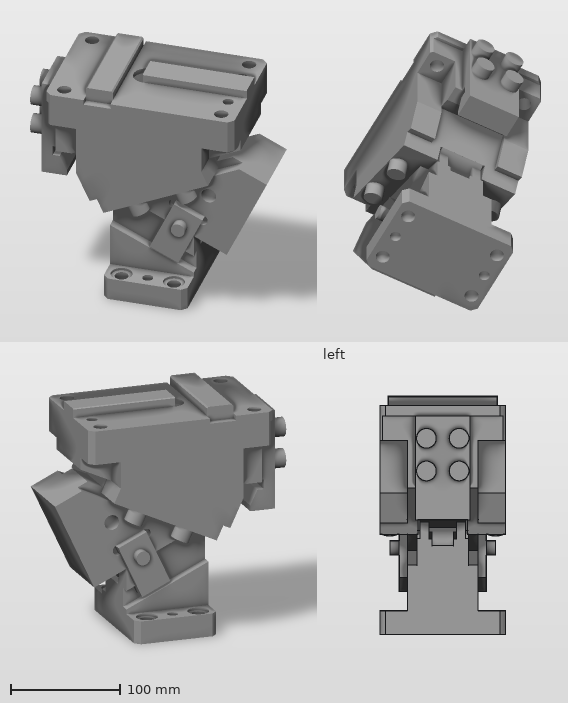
import cadquery as cq
import math

ANGLE = math.radians(25)
TAN = math.tan(ANGLE)
WIDTH = 115.0
CORE_WIDTH = 65.0

FOOT_LENGTH = 80.0
FOOT_HEIGHT = 22.0
FOOT_CHAMFER = 5.0
FOOT_HOLE_SPACING = 50.0
FOOT_HOLE_Y = 46.0
FOOT_HOLE_DIAMETER = 12.8
FOOT_COUNTERBORE_DIAMETER = 20.1
FOOT_COUNTERBORE_DEPTH = 2.3
FOOT_DOWEL_DIAMETER = 10.0
LEDGE_Z = 63.8
WEB_WIDTH = 47.1
SHOULDER_Z = 87.8
DRIVE_Z = 103.2
NECK_WIDTH = 41.6
RIB_START = 62.0
RIB_DEPTH = 19.5

SLIDE_END = 123.0
SLIDE_HEIGHT = 90.5
NECK_RISE = 8.2
TONGUE_WIDTH = 20.1
TONGUE_DEPTH = 19.5
TONGUE_ROOT_WIDTH = 25.0
TONGUE_ROOT_DEPTH = 4.3
GROOVE_MOUTH_DEPTH = 14.0
TONGUE_START = 12.4
TONGUE_END = 92.5
CLIP_START = 57.9
CLIP_WIDTH = 30.2
CLIP_END = CLIP_START + CLIP_WIDTH
CLIP_TOP = 25.5
CLIP_BOTTOM = -29.3
CLIP_THICKNESS = 7.5
CLIP_SLOT_WIDTH = 9.8
CLIP_SLOT_DEPTH = 6.0
CLIP_PIN_DIAMETER = 13.3
CLIP_PIN_RISE = 7.8
CLIP_PIN_REACH = 8.5
CROSS_HOLE_DIAMETER = 14.2
CROSS_HOLE_ALONG = 82.0
CROSS_HOLE_RISE = 47.8

PLATE_LEFT = -55.1
PLATE_LENGTH = 180.0
PLATE_RIGHT = PLATE_LEFT + PLATE_LENGTH
PLATE_TOP = 210.0
PLATE_BOTTOM = 177.7
PLATE_CHAMFER = 5.3
MOUNT_X = -52.2
MOUNT_TOP = 200.2
CORE_BOTTOM = 134.5
CORE_FLAT_END = -36.5
CHEEK_LEFT = -25.0
CHEEK_START = -4.8
RAIL_START = 2.7
RAIL_LENGTH = 110.3
RAIL_GAP = 3.2
RAIL_THICKNESS = 15.0
RAIL_TOP = RAIL_GAP + RAIL_THICKNESS
RAIL_END = RAIL_START + RAIL_LENGTH
RAIL_SPACING = 45.8
RAIL_SCREW_STARTS = (33.6, 83.7)
RAIL_SCREW_DIAMETER = 17.4
RAIL_SCREW_HEIGHT = 12.1
RAIL_SCREW_Y = 48.5
PLATE_HOLE_DIAMETER = 13.0
PLATE_HOLE_XS = (-40.0, 110.0)
PLATE_HOLE_Y = 45.0
DOWEL_HOLE_DIAMETER = 10.0
DOWEL_HOLE_Y = 22.6
KEY_TOP = 219.0
KEYWAY_DEPTH = 4.8
CROSS_KEY_X = -5.0
CROSS_KEY_WIDTH = 25.6
CROSS_KEY_LENGTH = 100.0
CROSS_KEY_CHAMFER = 1.4
LONG_KEY_START = 25.5
LONG_KEY_WIDTH = 25.0
LONG_KEY_CHAMFER = 1.0
HOOK_WIDTH = 50.3
HOOK_LEFT = -67.5
HOOK_BOTTOM = 105.2
HOOK_SLOT_X = -57.0
HOOK_SLOT_BOTTOM = 125.1
HOOK_LIP_START = -50.3
HOOK_LIP_END = -43.5
HOOK_LIP_CORNER = 110.7
HOOK_SCREW_DIAMETER = 18.0
HOOK_SCREW_HEIGHT = 11.5
HOOK_SCREW_SPACING = 30.0
HOOK_SCREW_Z = 165.0


def rising(along, height):
    """XZ point on the slope that climbs to the right from the driver's shoulder."""
    x = along * math.cos(ANGLE) - height * math.sin(ANGLE)
    z = SHOULDER_Z + along * math.sin(ANGLE) + height * math.cos(ANGLE)
    return x, z


def falling(along, height):
    """XZ point on the drive face, which drops to the right from the driver's top corner."""
    x = along * math.cos(ANGLE) + height * math.sin(ANGLE)
    z = DRIVE_Z - along * math.sin(ANGLE) + height * math.cos(ANGLE)
    return x, z


def rising_z(x, height):
    """Z at x of the line that runs parallel to the rising slope, height above it."""
    return SHOULDER_Z + height / math.cos(ANGLE) + x * TAN


def rising_meets_drive(height):
    """XZ point where the line at height above the rising slope meets the drive face."""
    x = (DRIVE_Z - rising_z(0, height)) / (2 * TAN)
    return x, rising_z(x, height)


def rising_meets_slide_top(height):
    """XZ point where the line at height above the rising slope meets the slide's top face."""
    x = (DRIVE_Z + SLIDE_HEIGHT / math.cos(ANGLE) - rising_z(0, height)) / (2 * TAN)
    return x, rising_z(x, height)


def profile(points, y_start, y_end):
    """XZ outline extruded from y_start to y_end."""
    outline = cq.Workplane("XZ", origin=(0, y_start, 0)).polyline(points).close()
    return outline.extrude(y_start - y_end)


def centred_profile(points, width):
    return profile(points, -width / 2, width / 2)


def paired_profile(points, inner_width, outer_width):
    """The outline extruded once on each side of the middle plane."""
    near = profile(points, -outer_width / 2, -inner_width / 2)
    return near.union(profile(points, inner_width / 2, outer_width / 2))


def falling_box(start, end, bottom, top):
    return [falling(start, bottom), falling(end, bottom), falling(end, top), falling(start, top)]


def cross_cylinder(centre, diameter, y_start, y_end):
    """Cylinder along Y about an XZ centre."""
    plane = cq.Workplane("XZ", origin=(centre[0], y_start, centre[1]))
    return plane.circle(diameter / 2).extrude(y_start - y_end)


def foot():
    plate = cq.Workplane("XY").box(FOOT_LENGTH, WIDTH, FOOT_HEIGHT, centered=(False, True, False))
    plate = plate.edges("|Z").chamfer(FOOT_CHAMFER)
    middle = FOOT_LENGTH / 2
    screw_points = [
        (middle + side * FOOT_HOLE_SPACING / 2, y)
        for side in (-1, 1)
        for y in (-FOOT_HOLE_Y, FOOT_HOLE_Y)
    ]
    plate = (
        plate.faces(">Z").workplane(origin=(0, 0, FOOT_HEIGHT))
        .pushPoints(screw_points)
        .cboreHole(FOOT_HOLE_DIAMETER, FOOT_COUNTERBORE_DIAMETER, FOOT_COUNTERBORE_DEPTH)
    )
    return (
        plate.faces(">Z").workplane(origin=(0, 0, FOOT_HEIGHT))
        .pushPoints([(middle, -FOOT_HOLE_Y), (middle, FOOT_HOLE_Y)])
        .hole(FOOT_DOWEL_DIAMETER)
    )


def wedge(left_z):
    """Outline of a block on the foot whose top falls to the right from left_z."""
    return [(0, 0), (FOOT_LENGTH, 0), (FOOT_LENGTH, left_z - FOOT_LENGTH * TAN), (0, left_z)]


def ribs():
    """Ribs beside the web that the slide's claws hook under, flush with the right face."""
    right_z = DRIVE_Z - FOOT_LENGTH * TAN
    outline = [
        falling(RIB_START, -RIB_DEPTH),
        (FOOT_LENGTH, right_z - RIB_DEPTH / math.cos(ANGLE)),
        (FOOT_LENGTH, right_z),
        falling(RIB_START, 0),
    ]
    return paired_profile(outline, WEB_WIDTH, CORE_WIDTH)


def groove(width, depth):
    """Groove along the drive face, running out at both ends of the driver."""
    end = FOOT_LENGTH / math.cos(ANGLE) + depth
    return centred_profile(falling_box(-depth, end, -depth, depth), width)


def make_driver():
    body = foot().union(centred_profile(wedge(LEDGE_Z), CORE_WIDTH))
    body = body.union(centred_profile(wedge(DRIVE_Z), WEB_WIDTH)).union(ribs())
    corner = [(0, SHOULDER_Z), rising_meets_drive(0), (0, DRIVE_Z)]
    body = body.cut(paired_profile(corner, NECK_WIDTH, WEB_WIDTH))
    body = body.cut(groove(TONGUE_ROOT_WIDTH, GROOVE_MOUTH_DEPTH))
    return body.cut(groove(TONGUE_WIDTH, TONGUE_DEPTH))


def slide_outline(height):
    """Outline of the slide up to the line at height above the rising slope."""
    return [
        rising_meets_drive(height),
        falling(SLIDE_END, 0),
        falling(SLIDE_END, SLIDE_HEIGHT),
        rising_meets_slide_top(height),
    ]


def slide_head():
    """Raised part of the neck that runs along the ceiling of the adapter channel."""
    outline = [
        rising_meets_drive(RAIL_TOP),
        rising_meets_drive(0),
        rising(RAIL_END, 0),
        rising(RAIL_END, RAIL_TOP),
    ]
    return centred_profile(outline, NECK_WIDTH)


def tongue(width, depth):
    return centred_profile(falling_box(TONGUE_START, TONGUE_END, -depth, 0), width)


def add_clip(body, side):
    """Retaining clip in its slot, with its pin and claw, on the -Y (-1) or +Y (1) side."""
    face = side * CORE_WIDTH / 2
    floor = face - side * CLIP_SLOT_DEPTH
    outer = face + side * CLIP_THICKNESS
    web = side * WEB_WIDTH / 2
    slot_middle = CLIP_TOP - CLIP_SLOT_WIDTH / 2
    slot = profile(falling_box(CLIP_START, CLIP_END, CLIP_TOP - CLIP_SLOT_WIDTH, CLIP_TOP), floor, face)
    for along in (CLIP_START, CLIP_END):
        slot = slot.union(cross_cylinder(falling(along, slot_middle), CLIP_SLOT_WIDTH, floor, face))
    clip = falling_box(CLIP_START, CLIP_END, CLIP_BOTTOM, CLIP_TOP)
    tenon = falling_box(CLIP_START, CLIP_END, 0, CLIP_TOP)
    claw = falling_box(CLIP_START, CLIP_END, CLIP_BOTTOM, -RIB_DEPTH)
    pin_centre = falling(CLIP_START + CLIP_WIDTH / 2, CLIP_PIN_RISE)
    pin = cross_cylinder(pin_centre, CLIP_PIN_DIAMETER, face, outer + side * CLIP_PIN_REACH)
    body = body.cut(slot).union(profile(tenon, floor, face)).union(profile(clip, face, outer))
    return body.union(profile(claw, web, face)).union(pin)


def make_slide():
    body = centred_profile(slide_outline(0), CORE_WIDTH)
    body = body.union(centred_profile(slide_outline(NECK_RISE), NECK_WIDTH)).union(slide_head())
    body = body.union(tongue(TONGUE_ROOT_WIDTH, TONGUE_ROOT_DEPTH))
    body = body.union(tongue(TONGUE_WIDTH, TONGUE_DEPTH))
    for side in (-1, 1):
        body = add_clip(body, side)
    hole_centre = falling(CROSS_HOLE_ALONG, CROSS_HOLE_RISE)
    return body.cut(cross_cylinder(hole_centre, CROSS_HOLE_DIAMETER, -CORE_WIDTH / 2, CORE_WIDTH / 2))


def top_plate():
    plate = cq.Workplane("XY", origin=(PLATE_LEFT, 0, PLATE_BOTTOM)).box(
        PLATE_LENGTH, WIDTH, PLATE_TOP - PLATE_BOTTOM, centered=(False, True, False)
    )
    plate = plate.edges("|Z").chamfer(PLATE_CHAMFER)
    mount = [
        (PLATE_LEFT, PLATE_BOTTOM),
        (MOUNT_X, PLATE_BOTTOM),
        (MOUNT_X, MOUNT_TOP),
        (PLATE_LEFT, MOUNT_TOP),
    ]
    return plate.cut(centred_profile(mount, WIDTH))


def core():
    relief = (CORE_BOTTOM - rising_z(CORE_FLAT_END, 0)) * math.cos(ANGLE)
    outline = [
        (MOUNT_X, PLATE_BOTTOM),
        (MOUNT_X, CORE_BOTTOM),
        (CORE_FLAT_END, CORE_BOTTOM),
        rising(RAIL_START, relief),
        rising(RAIL_START, RAIL_TOP),
        (PLATE_RIGHT, rising_z(PLATE_RIGHT, RAIL_TOP)),
        (PLATE_RIGHT, PLATE_BOTTOM),
    ]
    return centred_profile(outline, CORE_WIDTH)


def cheeks():
    foot_x, foot_z = rising(CHEEK_START, RAIL_TOP)
    outline = [
        (CHEEK_LEFT, PLATE_BOTTOM),
        (CHEEK_LEFT, foot_z + (foot_x - CHEEK_LEFT) / TAN),
        (foot_x, foot_z),
        rising(RAIL_END, RAIL_TOP),
        (rising(RAIL_END, RAIL_TOP)[0], PLATE_BOTTOM),
    ]
    return paired_profile(outline, CORE_WIDTH, WIDTH)


def rails():
    outline = [
        rising(RAIL_START, RAIL_GAP),
        rising(RAIL_END, RAIL_GAP),
        rising(RAIL_END, RAIL_TOP),
        rising(RAIL_START, RAIL_TOP),
    ]
    return paired_profile(outline, RAIL_SPACING, WIDTH)


def rail_screw(along, y):
    x, z = rising(along, RAIL_GAP)
    down = (math.sin(ANGLE), 0, -math.cos(ANGLE))
    plane = cq.Plane(origin=(x, y, z), xDir=(0, 1, 0), normal=down)
    return cq.Workplane(plane).circle(RAIL_SCREW_DIAMETER / 2).extrude(RAIL_SCREW_HEIGHT)


def hook():
    outline = [
        (HOOK_LEFT, MOUNT_TOP),
        (MOUNT_X, MOUNT_TOP),
        (MOUNT_X, CORE_BOTTOM),
        (HOOK_SLOT_X, CORE_BOTTOM),
        (HOOK_SLOT_X, HOOK_SLOT_BOTTOM),
        (HOOK_LIP_START, HOOK_SLOT_BOTTOM),
        (HOOK_LIP_END, HOOK_LIP_CORNER),
        (HOOK_LIP_END, HOOK_BOTTOM),
        (HOOK_LEFT, HOOK_BOTTOM),
    ]
    screws = (
        cq.Workplane("YZ", origin=(HOOK_LEFT, 0, HOOK_SCREW_Z))
        .rect(HOOK_SCREW_SPACING, HOOK_SCREW_SPACING, forConstruction=True)
        .vertices()
        .circle(HOOK_SCREW_DIAMETER / 2)
        .extrude(-HOOK_SCREW_HEIGHT)
    )
    return centred_profile(outline, HOOK_WIDTH).union(screws)


def add_cross_key(body):
    floor = PLATE_TOP - KEYWAY_DEPTH
    start = cq.Workplane("XY", origin=(CROSS_KEY_X, 0, floor))
    keyway = start.box(CROSS_KEY_WIDTH, WIDTH, KEYWAY_DEPTH, centered=(True, True, False))
    key = start.box(CROSS_KEY_WIDTH, CROSS_KEY_LENGTH, KEY_TOP - floor, centered=(True, True, False))
    return body.cut(keyway).union(key.edges(">Z and |Y").chamfer(CROSS_KEY_CHAMFER))


def add_long_key(body):
    floor = PLATE_TOP - KEYWAY_DEPTH
    length = PLATE_RIGHT - LONG_KEY_START
    start = cq.Workplane("XY", origin=(LONG_KEY_START, 0, floor))
    round_end = start.circle(LONG_KEY_WIDTH / 2).extrude(KEYWAY_DEPTH)
    key = start.box(length, LONG_KEY_WIDTH, KEY_TOP - floor, centered=(False, True, False))
    return body.cut(round_end).union(key.edges(">Z and |X").chamfer(LONG_KEY_CHAMFER))


def vertical_holes(points, diameter):
    height = PLATE_TOP - CORE_BOTTOM
    start = cq.Workplane("XY", origin=(0, 0, CORE_BOTTOM))
    return start.pushPoints(points).circle(diameter / 2).extrude(height)


def make_adapter():
    body = top_plate().union(core()).union(cheeks()).union(rails()).union(hook())
    for along in RAIL_SCREW_STARTS:
        for y in (-RAIL_SCREW_Y, RAIL_SCREW_Y):
            body = body.union(rail_screw(along, y))
    body = add_long_key(add_cross_key(body))
    screw_points = [(x, y) for x in PLATE_HOLE_XS for y in (-PLATE_HOLE_Y, PLATE_HOLE_Y)]
    body = body.cut(vertical_holes(screw_points, PLATE_HOLE_DIAMETER))
    dowel_points = [(PLATE_HOLE_XS[1], y) for y in (-DOWEL_HOLE_Y, DOWEL_HOLE_Y)]
    return body.cut(vertical_holes(dowel_points, DOWEL_HOLE_DIAMETER))


driver = make_driver()
slide = make_slide()
adapter = make_adapter()
result = cq.Compound.makeCompound([driver.val(), slide.val(), adapter.val()])